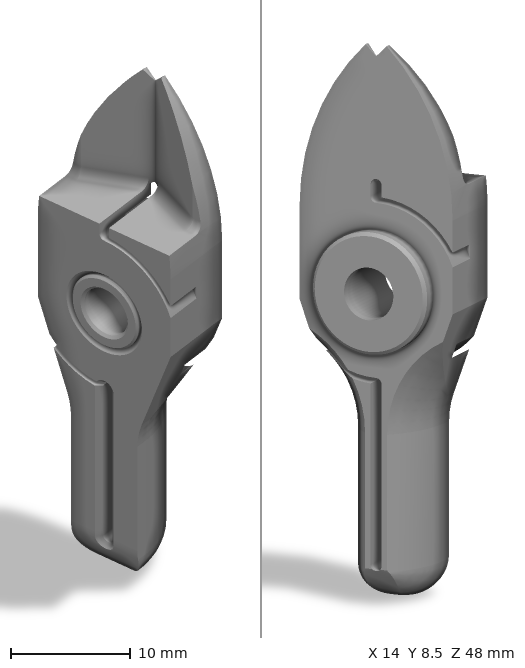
import cadquery as cq
import math


layer_thickness = 3.5
half_width = 7.0
tip_z = 21.0
bottom_z = -27.0
front_y = -layer_thickness
back_y = layer_thickness
thickness = back_y - front_y

blade_radius = 20.0
tip_notch_half_width = 0.95
shoulder_z = 9.0
shoulder_fillet = 0.85
blade_flat_thickness = 2.6
blade_flat_start_x = 5.9
blade_edge_thickness = 0.1

handle_half_width = 3.5
flank_end_z = -1.4
taper_angle = math.radians(20)
knee_radius = 7.0
corner_radius = 3.0
nose_radius = 5.0
nose_start_z = -23.05
flat_rim = 1.2
back_rounding_inset = 2.5
heel_inset = 3.2
heel_lowest_z = -27.05

disc_radius = 7.5
recess_radius = 8.0
slot_width = 1.0
slot_radius = slot_width / 2
handle_slot_end_z = -23.5
handle_slot_chamfer = 0.5

shank_radius = 3.5
rivet_hole_radius = 2.25
rivet_hole_chamfer = 0.25
rivet_end_chamfer = 0.2
head_radius = 5.25
head_height = 1.5
head_chamfer = 0.3
countersink_depth = 0.5

blade_arc_center_x = half_width - blade_radius
blade_arc_start_z = tip_z - math.sqrt(blade_radius**2 - (tip_notch_half_width - blade_arc_center_x) ** 2)
knee_tangent = knee_radius * math.tan(taper_angle / 2)
knee_corner_z = flank_end_z - (half_width - handle_half_width) / math.tan(taper_angle)
knee_start_x = handle_half_width + knee_tangent * math.sin(taper_angle)
knee_start_z = knee_corner_z + knee_tangent * math.cos(taper_angle)
knee_end_z = knee_corner_z - knee_tangent
knee_center_x = handle_half_width + knee_radius
corner_center_x = handle_half_width - corner_radius
corner_center_z = bottom_z + corner_radius

clearance = 0.5
selection_margin = 0.005


def point_on_arc(center_x, center_z, radius, angle):
    return (center_x + radius * math.cos(angle), center_z + radius * math.sin(angle))


def both_sides(right_side):
    return right_side.union(right_side.mirror("YZ"))


def plate(back_face_y=back_y):
    """Workplane parallel to XZ at a back face; it extrudes toward the front (-Y)."""
    return cq.Workplane("XZ", origin=(0, back_face_y, 0))


def right_half_outline():
    blade_arc_angle = math.asin((tip_z - blade_arc_start_z) / blade_radius)
    blade_arc_middle = point_on_arc(blade_arc_center_x, blade_arc_start_z, blade_radius, blade_arc_angle / 2)
    knee_middle = point_on_arc(knee_center_x, knee_end_z, knee_radius, math.pi - taper_angle / 2)
    corner_middle = point_on_arc(corner_center_x, corner_center_z, corner_radius, -math.pi / 4)
    return (
        plate()
        .moveTo(0, tip_z - tip_notch_half_width)
        .lineTo(tip_notch_half_width, tip_z)
        .threePointArc(blade_arc_middle, (half_width, blade_arc_start_z))
        .lineTo(half_width, flank_end_z)
        .lineTo(knee_start_x, knee_start_z)
        .threePointArc(knee_middle, (handle_half_width, knee_end_z))
        .lineTo(handle_half_width, corner_center_z)
        .threePointArc(corner_middle, (corner_center_x, bottom_z))
        .lineTo(0, bottom_z)
        .close()
        .extrude(thickness)
    )


def blade_relief():
    """Space in front of the two sloping blade faces, above the shoulder."""
    outer_x = half_width + clearance
    flat_y = back_y - blade_flat_thickness
    relief = (
        cq.Workplane("XY", origin=(0, 0, shoulder_z))
        .moveTo(-outer_x, front_y - clearance)
        .lineTo(outer_x, front_y - clearance)
        .lineTo(outer_x, flat_y)
        .lineTo(blade_flat_start_x, flat_y)
        .lineTo(0, back_y - blade_edge_thickness)
        .lineTo(-blade_flat_start_x, flat_y)
        .lineTo(-outer_x, flat_y)
        .close()
        .extrude(tip_z - shoulder_z + clearance)
    )
    shoulder_corner = cq.selectors.BoxSelector(
        (-outer_x + selection_margin, flat_y - selection_margin, shoulder_z - selection_margin),
        (outer_x - selection_margin, back_y, shoulder_z + selection_margin),
    )
    rounded = relief.edges(shoulder_corner).fillet(shoulder_fillet)
    slot_strip = cq.Workplane("XY").box(slot_width, 2 * thickness, 4 * tip_z)
    return rounded.union(relief.intersect(slot_strip))


def draw_rounding(sketch, edge, inset, inward):
    """Region between a flat edge and the arc that leaves it at the rim and reaches the back face.

    The first coordinate runs across the edge and the second is Y. The arc ends the given inset
    from the edge, and inward (+1 or -1) is the direction into the handle.
    """
    depth = thickness - flat_rim
    rim_y = back_y - depth
    arc_radius = (depth**2 + inset**2) / (2 * inset)
    half_angle = math.asin(depth / arc_radius) / 2
    middle = (
        edge + inward * arc_radius * (1 - math.cos(half_angle)),
        rim_y + arc_radius * math.sin(half_angle),
    )
    outside = edge - inward * clearance
    return (
        sketch.moveTo(edge, rim_y)
        .threePointArc(middle, (edge + inward * inset, back_y))
        .lineTo(outside, back_y)
        .lineTo(outside, rim_y)
        .close()
    )


def handle_side_rounding():
    """Material outside the rounded back of the right handle, along the corner, side and knee."""

    def profile(z):
        sketch = cq.Workplane("XY", origin=(0, 0, z))
        return draw_rounding(sketch, handle_half_width, back_rounding_inset, -1)

    corner = profile(corner_center_z).revolve(90, (corner_center_x, 0, 0), (corner_center_x, 1, 0))
    side = profile(corner_center_z).extrude(knee_end_z - corner_center_z)
    knee = profile(knee_end_z).revolve(90, (knee_center_x, 0, 0), (knee_center_x, 1, 0))
    return corner, side, knee


def handle_heel():
    """Material behind and below the rounded heel across both handle ends."""
    sketch = cq.Workplane(cq.Plane((-handle_half_width, 0, 0), xDir=(0, 0, 1), normal=(-1, 0, 0)))
    return draw_rounding(sketch, heel_lowest_z, heel_inset, 1).extrude(-2 * handle_half_width)


def handle_nose():
    """Material in front of the cylindrical nose at the handle ends."""
    angle = math.asin((nose_start_z - bottom_z) / nose_radius)
    center_y = front_y + nose_radius
    return (
        cq.Workplane("YZ", origin=(-half_width, 0, 0))
        .moveTo(front_y, nose_start_z)
        .threePointArc(
            (center_y - nose_radius * math.cos(angle / 2), nose_start_z - nose_radius * math.sin(angle / 2)),
            (center_y - nose_radius * math.cos(angle), bottom_z),
        )
        .lineTo(front_y, bottom_z)
        .close()
        .extrude(2 * half_width)
    )


def slot(low_z, high_z):
    """Through slot whose end arcs are centred at the two heights."""
    return (
        plate()
        .center(0, (low_z + high_z) / 2)
        .slot2D(high_z - low_z + slot_width, slot_width, 90)
        .extrude(thickness)
    )


def jaw_pair_blank():
    blank = both_sides(right_half_outline()).cut(blade_relief()).cut(handle_nose()).cut(handle_heel())
    for cutter in handle_side_rounding():
        blank = blank.cut(cutter).cut(cutter.mirror("YZ"))
    slot_end_gap = disc_radius + slot_radius
    blank = blank.cut(slot(slot_end_gap, shoulder_z))
    blank = blank.cut(slot(handle_slot_end_z, -slot_end_gap))
    slot_rim = cq.selectors.BoxSelector(
        (-slot_width, front_y - selection_margin, handle_slot_end_z - slot_width),
        (slot_width, front_y + slot_radius / 2, -disc_radius),
    )
    blank = blank.edges(slot_rim).chamfer(handle_slot_chamfer)
    rivet_bore = plate().circle(shank_radius).extrude(thickness)
    countersink = cq.Workplane(
        cq.Solid.makeCone(
            shank_radius + countersink_depth,
            shank_radius,
            countersink_depth,
            cq.Vector(0, front_y, 0),
            cq.Vector(0, 1, 0),
        )
    )
    return blank.cut(rivet_bore).cut(countersink)


def jaw(blank, blade_side, disc_layer_y, other_layer_y):
    """One jaw: blade on one side, handle on the opposite side, disc in one of the two layers.

    Each layer is named by the Y of its back face.
    """
    reach = tip_z - bottom_z

    def own_quadrants(layer_y):
        x = blade_side * reach / 2
        z = reach / 2
        return plate(layer_y).pushPoints([(x, z), (-x, -z)]).rect(reach, reach).extrude(layer_thickness)

    disc = plate(disc_layer_y).circle(disc_radius).extrude(layer_thickness)
    recess = plate(other_layer_y).circle(recess_radius).extrude(layer_thickness)
    disc_layer = own_quadrants(disc_layer_y).union(disc)
    recess_layer = own_quadrants(other_layer_y).cut(recess)
    return blank.intersect(disc_layer.union(recess_layer))


def make_rivet():
    shank = plate().circle(shank_radius).extrude(thickness).faces("<Y").edges().chamfer(rivet_end_chamfer)
    head = plate(back_y + head_height).circle(head_radius).extrude(head_height)
    head = head.faces(">Y").edges().chamfer(head_chamfer)
    hole = plate(back_y + head_height).circle(rivet_hole_radius).extrude(thickness + head_height)
    hollow = shank.union(head).cut(hole)
    return hollow.faces("<Y").edges(cq.selectors.RadiusNthSelector(0)).chamfer(rivet_hole_chamfer)


blank = jaw_pair_blank()
front_disc_jaw = jaw(blank, -1, 0, back_y)
back_disc_jaw = jaw(blank, 1, back_y, 0)
rivet = make_rivet()

result = cq.Compound.makeCompound(
    [*front_disc_jaw.vals(), *back_disc_jaw.vals(), rivet.val()]
)